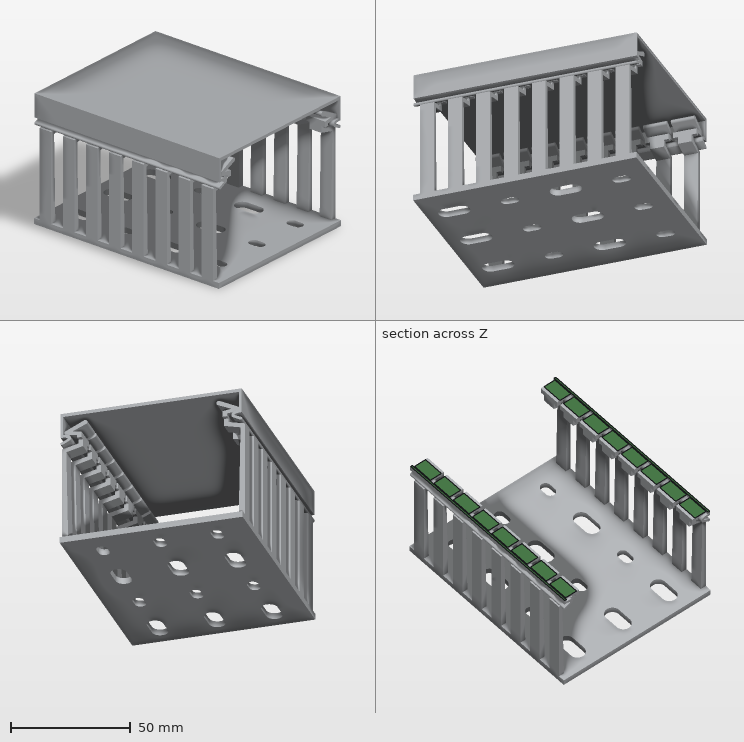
import cadquery as cq
import math

LENGTH = 100.0
WIDTH = 80.0
HEIGHT = 60.0
HALF_WIDTH = WIDTH / 2

FLOOR_THICKNESS = 2.7
WALL_FOOT_THICKNESS = 2.7
WALL_TOP_THICKNESS = 1.9
SHOULDER_OUTER_Z = 45.1
SHOULDER_INNER_Z = 43.5

NECK_OUTER = 7.2
NECK_INNER = 9.2
NECK_BOTTOM_OUTER_Z = 46.8
NECK_BOTTOM_INNER_Z = 45.3
NECK_TOP_OUTER_Z = 49.7
NECK_TOP_INNER_Z = 51.1
NOSE_BOTTOM = (3.0, 50.3)
NOSE_TIP = (1.7, 51.4)
NOTCH = (5.3, 51.7)
TONGUE_END = (10.8, 55.2)
TONGUE_RADIUS = 1.0
TONGUE_ANGLE = 25.5
TONGUE_LENGTH = 8.9

FINGER_COUNT = 8
FINGER_PITCH = LENGTH / FINGER_COUNT
WALL_SLOT_WIDTH = FINGER_PITCH / 2
WALL_SLOT_TOP_Z = 48.5
SLIT_WIDTH = 2.0

LONG_SLOT = (14.0, 7.0)
SHORT_SLOT = (8.0, 4.8)
FLOOR_SLOT_PITCH = 25.0
FLOOR_SLOT_ROWS = [LONG_SLOT, SHORT_SLOT, LONG_SLOT, SHORT_SLOT]
FLOOR_SLOT_COLUMNS = 3

COVER_INSET = 0.4
COVER_TOP_THICKNESS = 1.5
COVER_SIDE_THICKNESS = 1.1
COVER_SIDE_BOTTOM_Z = 48.9
LEDGE_TOP_Z = 50.0
LIP_UPPER_OUTER = (2.3, 48.8)
LIP_UPPER_INNER = (3.3, 49.9)
LIP_BEND_OUTER = (3.5, 48.4)
LIP_BEND_INNER = (4.9, 48.4)
LIP_LOWER_OUTER = (3.5, 48.0)
LIP_LOWER_INNER = (4.5, 47.2)
LIP_END_OUTER = (0.4, 46.6)
LIP_END_TIP = (0.5, 45.6)
LIP_END_INNER = (1.1, 45.5)


def at(inset, z):
    """Section point at a distance in from the +Y outer side of the base."""
    return (HALF_WIDTH - inset, z)


def extrude_both_sides(section):
    """Extrude a +Y side section over the whole length and add its mirror image."""
    side = section.close().extrude(LENGTH)
    return side.union(side.mirror("XZ"))


def make_walls():
    """Side walls, each with a snap head folded along its top."""
    cos_a = math.cos(math.radians(TONGUE_ANGLE))
    sin_a = math.sin(math.radians(TONGUE_ANGLE))
    end_in, end_z = TONGUE_END
    upper_end = (end_in - TONGUE_RADIUS * sin_a, end_z + TONGUE_RADIUS * cos_a)
    end_tip = (end_in + TONGUE_RADIUS * cos_a, end_z + TONGUE_RADIUS * sin_a)
    lower_end = (end_in + TONGUE_RADIUS * sin_a, end_z - TONGUE_RADIUS * cos_a)
    upper_start = (upper_end[0] - TONGUE_LENGTH * cos_a, upper_end[1] - TONGUE_LENGTH * sin_a)
    section = (
        cq.Workplane("YZ")
        .moveTo(*at(0, 0))
        .lineTo(*at(0, SHOULDER_OUTER_Z))
        .lineTo(*at(NECK_OUTER, NECK_BOTTOM_OUTER_Z))
        .lineTo(*at(NECK_OUTER, NECK_TOP_OUTER_Z))
        .lineTo(*at(*NOSE_BOTTOM))
        .threePointArc(at(*NOSE_TIP), at(*upper_start))
        .lineTo(*at(*upper_end))
        .threePointArc(at(*end_tip), at(*lower_end))
        .lineTo(*at(*NOTCH))
        .lineTo(*at(NECK_INNER, NECK_TOP_INNER_Z))
        .lineTo(*at(NECK_INNER, NECK_BOTTOM_INNER_Z))
        .lineTo(*at(WALL_TOP_THICKNESS, SHOULDER_INNER_Z))
        .lineTo(*at(WALL_FOOT_THICKNESS, FLOOR_THICKNESS))
        .lineTo(*at(WALL_FOOT_THICKNESS, 0))
    )
    return extrude_both_sides(section)


def make_gaps(gap_width, bottom_z, top_z):
    """Gaps between the fingers, through both walls; half gaps fall at the two ends."""
    places = [(i * FINGER_PITCH, 0) for i in range(FINGER_COUNT + 1)]
    return (
        cq.Workplane("XY")
        .workplane(offset=bottom_z)
        .pushPoints(places)
        .rect(gap_width, WIDTH)
        .extrude(top_z - bottom_z)
    )


def make_fingers():
    """Fingers left standing after wide slots and narrow slits divide the walls."""
    wide_slots = make_gaps(WALL_SLOT_WIDTH, FLOOR_THICKNESS, WALL_SLOT_TOP_Z)
    slits = make_gaps(SLIT_WIDTH, WALL_SLOT_TOP_Z, HEIGHT)
    return make_walls().cut(wide_slots).cut(slits)


def cut_floor_slots(base):
    """Rows of long and short mounting slots through the floor."""
    middle_column = (FLOOR_SLOT_COLUMNS - 1) / 2
    for row, (slot_length, slot_width) in enumerate(FLOOR_SLOT_ROWS):
        x = (row + 0.5) * FLOOR_SLOT_PITCH
        places = [(x, (column - middle_column) * FLOOR_SLOT_PITCH) for column in range(FLOOR_SLOT_COLUMNS)]
        slots = (
            cq.Workplane("XY")
            .pushPoints(places)
            .slot2D(slot_length, slot_width)
            .extrude(FLOOR_THICKNESS)
        )
        base = base.cut(slots)
    return base


def make_base():
    """Slotted trunking base."""
    floor = cq.Workplane("XY").box(LENGTH, WIDTH, FLOOR_THICKNESS, centered=(False, True, False))
    base = floor.union(make_fingers())
    return cut_floor_slots(base)


def make_cover():
    """Snap-on cover: flat top, two sides, and a bent spring lip under each side."""
    side_inner = COVER_INSET + COVER_SIDE_THICKNESS
    top_width = WIDTH - 2 * COVER_INSET
    top = (
        cq.Workplane("XY")
        .box(LENGTH, top_width, COVER_TOP_THICKNESS, centered=(False, True, False))
        .translate((0, 0, HEIGHT - COVER_TOP_THICKNESS))
    )
    side_section = (
        cq.Workplane("YZ")
        .moveTo(*at(COVER_INSET, HEIGHT))
        .lineTo(*at(COVER_INSET, COVER_SIDE_BOTTOM_Z))
        .lineTo(*at(*LIP_UPPER_OUTER))
        .lineTo(*at(*LIP_BEND_OUTER))
        .lineTo(*at(*LIP_LOWER_OUTER))
        .lineTo(*at(*LIP_END_OUTER))
        .threePointArc(at(*LIP_END_TIP), at(*LIP_END_INNER))
        .lineTo(*at(*LIP_LOWER_INNER))
        .threePointArc(at(*LIP_BEND_INNER), at(*LIP_UPPER_INNER))
        .lineTo(*at(side_inner, LEDGE_TOP_Z))
        .lineTo(*at(side_inner, HEIGHT))
    )
    return top.union(extrude_both_sides(side_section))


base = make_base()
cover = make_cover()

result = cq.Compound.makeCompound([base.val(), cover.val()])